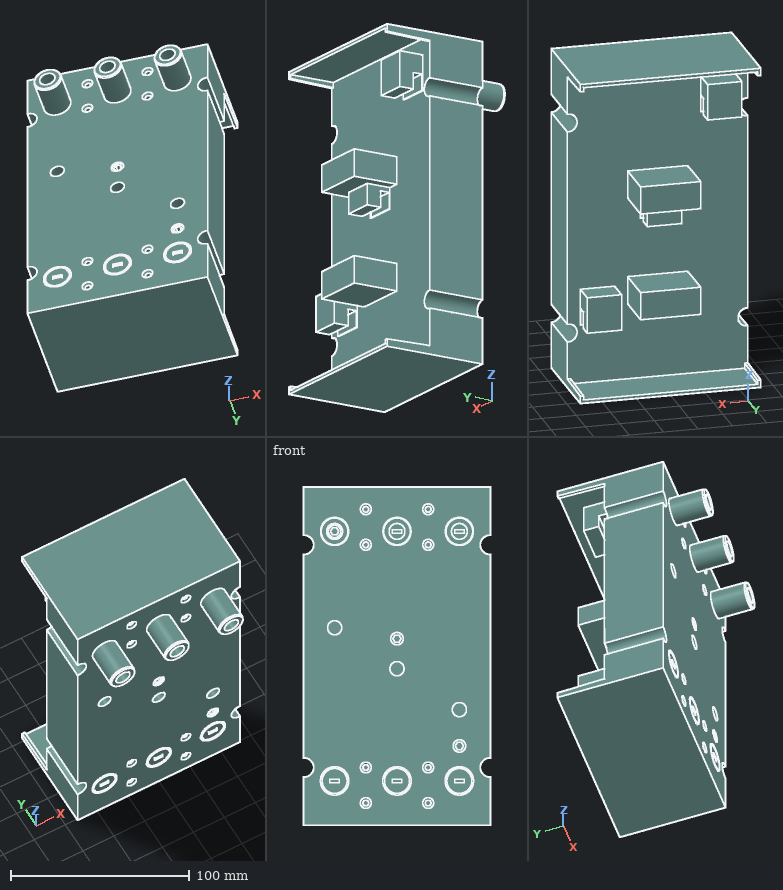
import cadquery as cq
width = 105.0
height = 190.0
body_depth = 35.0

lip_length = 28.1
lip_rim_root = 5.1
lip_rim_tip = 4.4
lip_rim_width = 1.9
lip_floor = 2.0
back_y = body_depth + lip_length

pole_pitch = width / 3
pole_xs = [-pole_pitch, 0, pole_pitch]
terminal_z = 2 * pole_pitch

notch_z = 62.5
notch_diameter = 10.6
notch_depth = 5.7

screw_head_diameter = 6.0
screw_diameter = 3.2
screw_countersink = 1.3
screw_hole_depth = 11.4
screw_row_gap = 20.0

bar_pitch = 60.2
clamp_recess_diameter = 7.0
clamp_recess_depth = 1.0
hex_flats = 4.0
hex_depth = 9.5
hex_turn = 30
hook_width = 20.0
hook_reach = 15.0
hook_above = 13.3
hook_below = 7.8
hook_mouth_height = 9.7
hook_jaw = 9.0
hook_pad = 0.5

block_width = 35.0
block_height = 16.2
block_pitch = 62.9
block_first_top_z = 30.8
block_top_zs = [block_first_top_z, block_first_top_z - block_pitch]

plain_hole_diameter = 8.0
plain_hole_depth = 19.0
plain_hole_first_z = 16.0
plain_hole_pitch = 23.0

tube_diameter = 15.8
tube_length = 20.9
tube_bore = 9.0
tube_tip_diameter = 15.0
tube_chamfer_length = 1.0
plug_diameter = 16.0
plug_depth = 9.5
plug_head_diameter = 14.0
plug_groove_depth = 1.0
slot_length = 5.3
slot_height = 1.9
slot_depth = 1.0


def block(x, z, size_x, size_z, y_front, y_back):
    """Box centred on (x, z) between two Y planes."""
    return (
        cq.Workplane("XY")
        .box(size_x, y_back - y_front, size_z)
        .translate((x, (y_front + y_back) / 2, z))
    )


def cylinder(x, z, diameter, y_front, y_back):
    """Cylinder along Y centred on (x, z) between two Y planes."""
    return cq.Workplane("XZ", origin=(x, y_front, z)).circle(diameter / 2).extrude(y_front - y_back)


def driver_slot(x, z):
    return block(x, z, slot_length, slot_height, 0, slot_depth)


def make_lip(side):
    """Tapered lip at the top (side = 1) or bottom (side = -1), hollowed between two side rims."""
    edge_z = side * height / 2
    profile = [
        (body_depth, edge_z),
        (back_y, edge_z),
        (back_y, edge_z - side * lip_rim_tip),
        (body_depth, edge_z - side * lip_rim_root),
    ]
    lip = cq.Workplane("YZ").polyline(profile).close().extrude(width / 2, both=True)
    hollow_height = lip_rim_root - lip_floor
    hollow_z = edge_z - side * (lip_floor + hollow_height / 2)
    return lip.cut(block(0, hollow_z, width - 2 * lip_rim_width, hollow_height, body_depth, back_y))


def make_notch(side, z):
    """Slot with a round inner end, open to the side edge."""
    edge_x = side * width / 2
    end_x = edge_x - side * (notch_depth - notch_diameter / 2)
    round_end = cylinder(end_x, z, notch_diameter, 0, body_depth)
    straight = block((edge_x + end_x) / 2, z, abs(edge_x - end_x), notch_diameter, 0, body_depth)
    return round_end.union(straight)


def make_screw_hole(x, z):
    hole = cylinder(x, z, screw_diameter, 0, screw_hole_depth)
    countersink = (
        cq.Workplane("XZ", origin=(x, 0, z))
        .circle(screw_head_diameter / 2)
        .workplane(offset=-screw_countersink)
        .circle(screw_diameter / 2)
        .loft(ruled=True)
    )
    return hole.union(countersink)


def make_clamp_socket(x, z):
    """Round recess with a hexagonal socket in its floor, hexagon corners along X."""
    recess = cylinder(x, z, clamp_recess_diameter, 0, clamp_recess_depth)
    socket = (
        cq.Workplane("XZ", origin=(x, 0, z))
        .transformed(rotate=(0, 0, hex_turn))
        .polygon(6, hex_flats, circumscribed=True)
        .extrude(-hex_depth)
    )
    return recess.union(socket)


def make_hook(x, z):
    """Hook whose mouth opens downward, with a thin pad between the mouth and the body."""
    bottom_z = z - hook_below
    pad_y = body_depth + hook_pad
    outer_y = body_depth + hook_reach
    mouth_y = outer_y - hook_jaw
    profile = [
        (body_depth, bottom_z),
        (pad_y, bottom_z),
        (pad_y, bottom_z + hook_mouth_height),
        (mouth_y, bottom_z + hook_mouth_height),
        (mouth_y, bottom_z),
        (outer_y, bottom_z),
        (outer_y, z + hook_above),
        (body_depth, z + hook_above),
    ]
    return cq.Workplane("YZ", origin=(x - hook_width / 2, 0, 0)).polyline(profile).close().extrude(hook_width)


def make_housing():
    body = block(0, 0, width, height, 0, body_depth)

    for side in (-1, 1):
        body = body.union(make_lip(side))

    for top_z in block_top_zs:
        body = body.union(block(0, top_z - block_height / 2, block_width, block_height, body_depth, back_y))

    for x_side in (-1, 1):
        for z_side in (-1, 1):
            body = body.cut(make_notch(x_side, z_side * notch_z))
            for row_z in (notch_z, notch_z + screw_row_gap):
                body = body.cut(make_screw_hole(x_side * pole_pitch / 2, z_side * row_z))

    for i, x in enumerate(pole_xs):
        clamp_z = terminal_z - i * bar_pitch
        plain_hole_z = plain_hole_first_z - i * plain_hole_pitch
        body = body.union(make_hook(x, clamp_z))
        body = body.cut(make_clamp_socket(x, clamp_z))
        body = body.cut(cylinder(x, plain_hole_z, plain_hole_diameter, 0, plain_hole_depth))
        body = body.cut(cylinder(x, -terminal_z, plug_diameter, 0, plug_depth))

    for x in pole_xs[1:]:
        body = body.cut(driver_slot(x, terminal_z))
    return body


def make_tube(x):
    """Open tube standing on the front face, chamfered at its free end."""
    chamfer_width = (tube_diameter - tube_tip_diameter) / 2
    tube = cylinder(x, terminal_z, tube_diameter, -tube_length, 0)
    tube = tube.faces("<Y").chamfer(tube_chamfer_length, chamfer_width)
    return tube.cut(cylinder(x, terminal_z, tube_bore, -tube_length, 0))


def make_plug(x):
    """Slotted plug flush with the front face, with a smaller head that leaves a ring groove."""
    base = cylinder(x, -terminal_z, plug_diameter, plug_groove_depth, plug_depth)
    head = cylinder(x, -terminal_z, plug_head_diameter, 0, plug_groove_depth)
    return base.union(head).cut(driver_slot(x, -terminal_z))


housing = make_housing()
tubes = [make_tube(x) for x in pole_xs]
plugs = [make_plug(x) for x in pole_xs]

result = cq.Compound.makeCompound(
    [housing.val()] + [tube.val() for tube in tubes] + [plug.val() for plug in plugs]
)